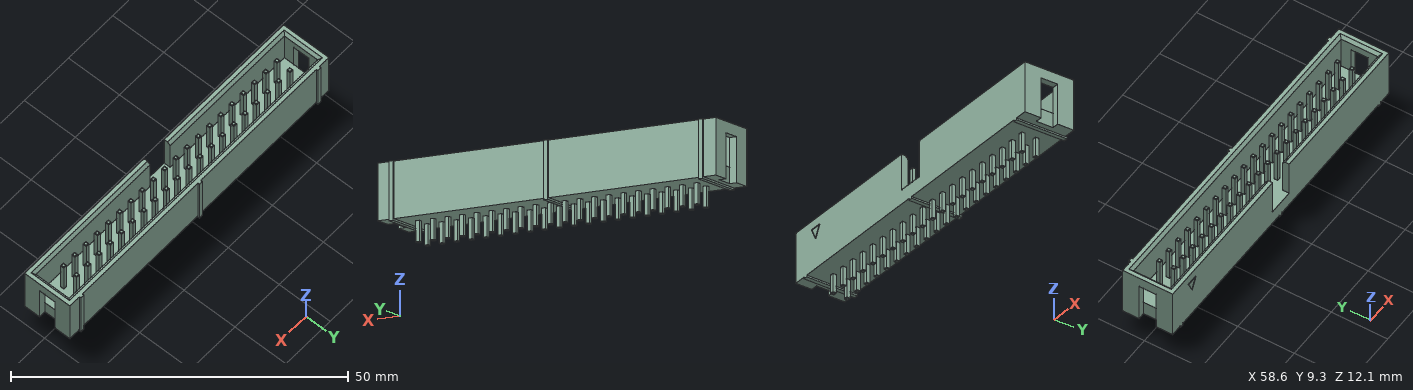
import cadquery as cq


PIN_COLUMNS = 20
PIN_ROWS = 2
PITCH = 2.54
PIN_SIZE = 0.64
PIN_TIP_CHAMFER = 0.1
PIN_TAIL = 3.0
PIN_RECESS = 0.6

BODY_LENGTH = 58.6
BODY_DEPTH = 8.9
BODY_HEIGHT = 8.8
WALL = 1.2
CAVITY_DEPTH = 6.3
RIM_CHAMFER = 0.5

KEY_WIDTH = 4.5
WINDOW_WIDTH = 3.0
WINDOW_DROP = 1.8

RIB_WIDTH = 0.7
RIB_HEIGHT = 0.3
RIB_SPACING = 26.8

MARK_WIDTH = 2.0
MARK_HEIGHT = 2.0
MARK_DROP = 1.6
MARK_THICKNESS = 0.1

BODY_BOTTOM = RIB_HEIGHT
BODY_TOP = BODY_BOTTOM + BODY_HEIGHT
FLOOR_Z = BODY_TOP - CAVITY_DEPTH
FRONT_Y = -BODY_DEPTH / 2
BACK_Y = BODY_DEPTH / 2
END_X = BODY_LENGTH / 2
CAVITY_LENGTH = BODY_LENGTH - 2 * WALL
CAVITY_WIDTH = BODY_DEPTH - 2 * WALL
FIRST_PIN_X = -(PIN_COLUMNS - 1) * PITCH / 2


def block(x_min, x_max, y_min, y_max, z_min, z_max):
    """Axis-aligned box given by its limits."""
    size = (x_max - x_min, y_max - y_min, z_max - z_min)
    return cq.Workplane("XY").box(*size, centered=False).translate((x_min, y_min, z_min))


def make_housing():
    """Open-topped box with a chamfered cavity mouth."""
    body = block(-END_X, END_X, FRONT_Y, BACK_Y, BODY_BOTTOM, BODY_TOP)
    cavity = (
        cq.Workplane("XY")
        .workplane(offset=FLOOR_Z)
        .rect(CAVITY_LENGTH, CAVITY_WIDTH)
        .extrude(CAVITY_DEPTH)
    )
    mouth = (
        cq.Workplane("XY")
        .workplane(offset=BODY_TOP - RIM_CHAMFER)
        .rect(CAVITY_LENGTH, CAVITY_WIDTH)
        .workplane(offset=RIM_CHAMFER)
        .rect(CAVITY_LENGTH + 2 * RIM_CHAMFER, CAVITY_WIDTH + 2 * RIM_CHAMFER)
        .loft(ruled=True)
    )
    return body.cut(cavity).cut(mouth)


def make_key_notch():
    """Notch through the front wall, from the rim down to the cavity floor."""
    return block(-KEY_WIDTH / 2, KEY_WIDTH / 2, FRONT_Y, FRONT_Y + WALL, FLOOR_Z, BODY_TOP)


def make_end_slot(x_min):
    """Slot one wall deep in an end, starting at x_min and running out through the bottom."""
    half_width = WINDOW_WIDTH / 2
    slot_top = BODY_TOP - WINDOW_DROP
    return block(x_min, x_min + WALL, -half_width, half_width, BODY_BOTTOM, slot_top)


def make_rib(x):
    """L-shaped rib: along the underside and up the full back face."""
    x_min = x - RIB_WIDTH / 2
    x_max = x + RIB_WIDTH / 2
    rib_back = BACK_Y + RIB_HEIGHT
    under = block(x_min, x_max, FRONT_Y, rib_back, 0, BODY_BOTTOM)
    behind = block(x_min, x_max, BACK_Y, rib_back, 0, BODY_TOP)
    return under.union(behind)


def make_pin_one_mark():
    """Downward-pointing triangle in line with the first pin column."""
    mark_top = BODY_TOP - MARK_DROP
    return (
        cq.Workplane("XZ", origin=(0, FRONT_Y, 0))
        .moveTo(FIRST_PIN_X - MARK_WIDTH / 2, mark_top)
        .lineTo(FIRST_PIN_X + MARK_WIDTH / 2, mark_top)
        .lineTo(FIRST_PIN_X, mark_top - MARK_HEIGHT)
        .close()
        .extrude(MARK_THICKNESS)
    )


def make_pins():
    """Square pins with chamfered tips at both ends."""
    pin_length = BODY_TOP - PIN_RECESS + PIN_TAIL
    return (
        cq.Workplane("XY")
        .workplane(offset=-PIN_TAIL)
        .rarray(PITCH, PITCH, PIN_COLUMNS, PIN_ROWS)
        .rect(PIN_SIZE, PIN_SIZE)
        .extrude(pin_length)
        .faces("<Z or >Z")
        .chamfer(PIN_TIP_CHAMFER)
    )


housing = make_housing().cut(make_key_notch())
for slot_x in (-END_X, END_X - WALL):
    housing = housing.cut(make_end_slot(slot_x))
for rib_x in (-RIB_SPACING, 0, RIB_SPACING):
    housing = housing.union(make_rib(rib_x))

result = housing.union(make_pin_one_mark()).union(make_pins())